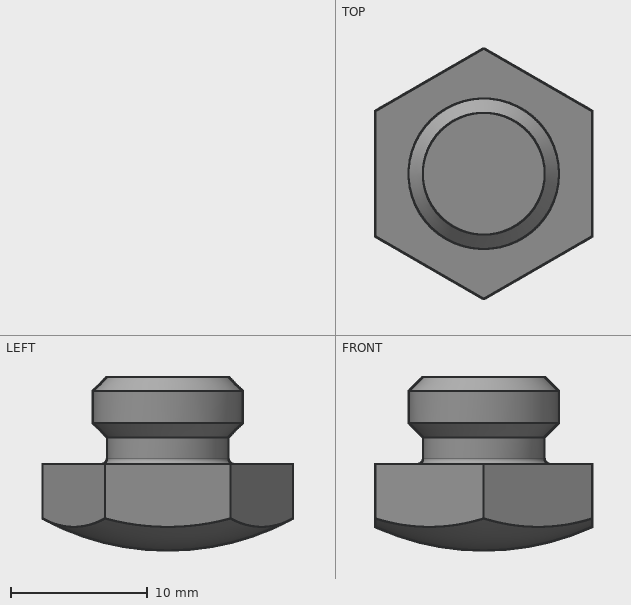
import cadquery as cq
import math

corner_diameter = 18.33
dome_radius = 19.0
total_height = 12.7
head_height = 6.35

collar_radius = 5.5
neck_radius = 4.45
neck_fillet = 0.38
collar_bevel = collar_radius - neck_radius
collar_length = 2.33

upper_bevel_start = total_height - collar_bevel
collar_bottom = upper_bevel_start - collar_length
neck_top = collar_bottom - collar_bevel


def make_head():
    """Hexagonal prism with a spherical underside."""
    prism = (
        cq.Workplane("XY")
        .polygon(6, corner_diameter)
        .extrude(head_height)
        .rotate((0, 0, 0), (0, 0, 1), 90)
    )
    sphere = cq.Workplane("XY").sphere(dome_radius).translate((0, 0, dome_radius))
    return prism.intersect(sphere)


def make_stud():
    """Revolved neck and bevelled collar, with a concave fillet at the head."""
    fillet_outer_radius = neck_radius + neck_fillet
    fillet_top = head_height + neck_fillet
    arc_reach = neck_fillet * (1 - math.sqrt(0.5))
    root = head_height - neck_fillet
    return (
        cq.Workplane("XZ")
        .moveTo(0, root)
        .lineTo(fillet_outer_radius, root)
        .lineTo(fillet_outer_radius, head_height)
        .threePointArc(
            (neck_radius + arc_reach, head_height + arc_reach),
            (neck_radius, fillet_top),
        )
        .lineTo(neck_radius, neck_top)
        .lineTo(collar_radius, collar_bottom)
        .lineTo(collar_radius, upper_bevel_start)
        .lineTo(neck_radius, total_height)
        .lineTo(0, total_height)
        .close()
        .revolve(360, (0, 0, 0), (0, 1, 0))
    )


result = make_head().union(make_stud())